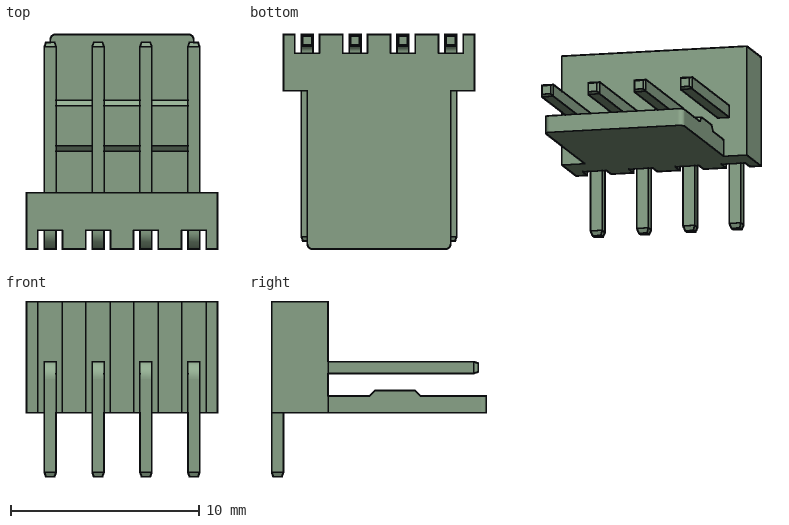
import cadquery as cq


total_depth = 11.4
total_height = 9.3

pin_count = 4
body_width = 10.16
body_depth = 3.0
body_height = 5.9
pitch = body_width / pin_count
slot_width = 1.3
slot_depth = 1.0

plate_width = (pin_count - 1) * pitch
plate_thickness = 0.9
plate_corner_radius = 0.3
ridge_height = 0.3
ridge_length = 2.7
ridge_gap = 2.2
ridge_start = body_depth + ridge_gap

pin_size = 0.64
pin_axis_height = 2.4
pin_end_gap = 0.42
pin_end = total_depth - pin_end_gap
pin_foot = body_height - total_height
bend_outer_radius = 0.93
bend_inner_radius = bend_outer_radius - pin_size
tip_length = 0.25
tip_inset = 0.09

pin_positions = [(i - (pin_count - 1) / 2) * pitch for i in range(pin_count)]


def make_body():
    """Housing block with a full-height slot in its front face for each pin."""
    body = cq.Workplane("XY").box(body_width, body_depth, body_height, centered=(True, False, False))
    for x in pin_positions:
        slot = cq.Workplane("XY").box(slot_width, slot_depth, body_height, centered=(True, False, False))
        body = body.cut(slot.translate((x, 0, 0)))
    return body


def make_plate():
    """Latch plate with rounded rear corners and a cross ridge with 45 degree flanks."""
    ridge_end = ridge_start + ridge_length
    ridge_top = plate_thickness + ridge_height
    return (
        cq.Workplane("YZ")
        .moveTo(body_depth, 0)
        .lineTo(total_depth, 0)
        .lineTo(total_depth, plate_thickness)
        .lineTo(ridge_end, plate_thickness)
        .lineTo(ridge_end - ridge_height, ridge_top)
        .lineTo(ridge_start + ridge_height, ridge_top)
        .lineTo(ridge_start, plate_thickness)
        .lineTo(body_depth, plate_thickness)
        .close()
        .extrude(plate_width / 2, both=True)
        .faces(">Y")
        .edges("|Z")
        .fillet(plate_corner_radius)
    )


def make_tip(base):
    """Tapered square tip on a workplane whose normal points out of the pin end."""
    end_size = pin_size - 2 * tip_inset
    return (
        base.rect(pin_size, pin_size)
        .workplane(offset=tip_length)
        .rect(end_size, end_size)
        .loft(ruled=True)
    )


def make_pin():
    """Square pin at X = 0: a leg down the front face, a round bend and a contact running back."""
    pin_top = pin_axis_height + pin_size / 2
    bend_center_height = pin_top - bend_outer_radius
    contact_shoulder = pin_end - tip_length
    leg_shoulder = pin_foot + tip_length
    shank = (
        cq.Workplane("YZ")
        .moveTo(0, leg_shoulder)
        .lineTo(0, bend_center_height)
        .radiusArc((bend_outer_radius, pin_top), bend_outer_radius)
        .lineTo(contact_shoulder, pin_top)
        .lineTo(contact_shoulder, pin_top - pin_size)
        .lineTo(bend_outer_radius, pin_top - pin_size)
        .radiusArc((pin_size, bend_center_height), -bend_inner_radius)
        .lineTo(pin_size, leg_shoulder)
        .close()
        .extrude(pin_size / 2, both=True)
    )
    contact_plane = cq.Plane((0, contact_shoulder, pin_axis_height), (1, 0, 0), (0, 1, 0))
    leg_plane = cq.Plane((0, pin_size / 2, leg_shoulder), (1, 0, 0), (0, 0, -1))
    return shank.union(make_tip(cq.Workplane(contact_plane))).union(make_tip(cq.Workplane(leg_plane)))


result = make_body().union(make_plate())
pin = make_pin()
for x in pin_positions:
    result = result.union(pin.translate((x, 0, 0)))